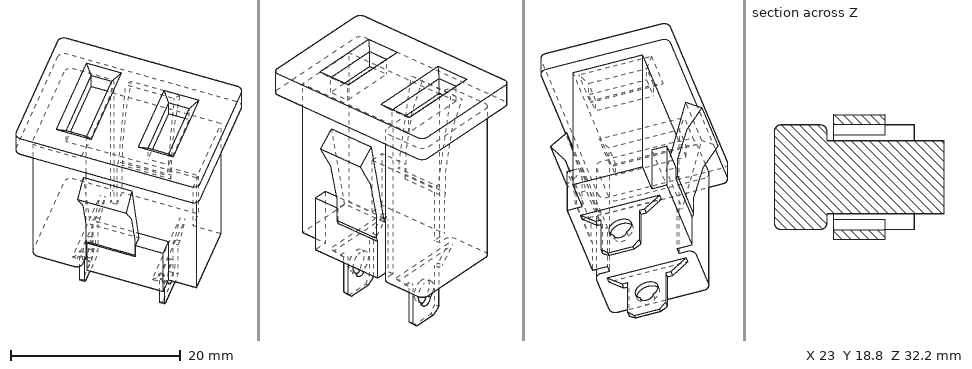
import cadquery as cq

TOTAL_HEIGHT = 32.2
CONTACT_PITCH = 9.98
CORNER_RADIUS = 0.8

PLATE_LENGTH = 23.0
PLATE_WIDTH = 16.05
PLATE_THICKNESS = 3.0
PLATE_BOTTOM = TOTAL_HEIGHT - PLATE_THICKNESS
MOUTH_WIDTH = 4.38
MOUTH_CHAMFER = 0.9
LEFT_MOUTH_LENGTH = 10.55
RIGHT_MOUTH_LENGTH = 9.0

HOUSING_LENGTH = 20.03
HOUSING_WIDTH = 12.35
HOUSING_HEIGHT = 21.0
HOUSING_BOTTOM = PLATE_BOTTOM - HOUSING_HEIGHT
END_BLOCK_LENGTH = 6.2
CORE_RECESS = 1.87
CORE_WIDTH = HOUSING_WIDTH - 2 * CORE_RECESS

CLIP_WIDTH = 6.1
PAD_RIGHT = 6.5
PAD_HEIGHT = 7.3
PAD_TOP = HOUSING_BOTTOM + PAD_HEIGHT
CLIP_SPAN = 18.8
CLIP_TIP_Y = 7.37
CLIP_TIP_Z = 27.35
CLIP_BARB_Z = 25.55
CLIP_KNEE_Y = 7.55
CLIP_KNEE_Z = 22.2
CLIP_FOOT_Y = 6.38
CLIP_FOOT_TOP = 17.0
CLIP_FOOT_BOTTOM = 13.9
CLIP_FOOT_END = 13.4
CLIP_ROOT_Y = 4.95

BLADE_THICKNESS = 0.65
SHOULDER_TOP_HALF = 4.9
SHOULDER_HEIGHT = 1.87
TAB_HALF_WIDTH = 2.38
TAB_CORNER_CHAMFER = 0.85
TIP_BEVEL_HEIGHT = 0.58
TIP_BEVEL_DEPTH = 0.13
EYE_RADIUS = 1.42
EYE_Z = 4.1
EYE_TOE_RADIUS = 0.8
EYE_TOE_Z = 2.95


def slot_cutter(center_x, mouth_length):
    """Slot through the faceplate, with a 45-degree chamfer around its mouth."""
    throat_width = MOUTH_WIDTH - 2 * MOUTH_CHAMFER
    throat_length = mouth_length - 2 * MOUTH_CHAMFER
    throat = (
        cq.Workplane("XY", origin=(center_x, 0, PLATE_BOTTOM))
        .rect(throat_width, throat_length)
        .extrude(PLATE_THICKNESS)
    )
    mouth = (
        cq.Workplane("XY", origin=(center_x, 0, TOTAL_HEIGHT - MOUTH_CHAMFER))
        .rect(throat_width, throat_length)
        .workplane(offset=MOUTH_CHAMFER)
        .rect(MOUTH_WIDTH, mouth_length)
        .loft(ruled=True)
    )
    return throat.union(mouth)


def make_faceplate():
    plate = (
        cq.Workplane("XY", origin=(0, 0, PLATE_BOTTOM))
        .rect(PLATE_LENGTH, PLATE_WIDTH)
        .extrude(PLATE_THICKNESS)
        .edges("|Z")
        .fillet(CORNER_RADIUS)
    )
    plate = plate.cut(slot_cutter(-CONTACT_PITCH / 2, LEFT_MOUTH_LENGTH))
    return plate.cut(slot_cutter(CONTACT_PITCH / 2, RIGHT_MOUTH_LENGTH))


def make_clip():
    """Snap clip with its supporting pad on the -Y side of the housing."""
    clip = (
        cq.Workplane("YZ", origin=(-CLIP_WIDTH / 2, 0, 0))
        .polyline([
            (-CLIP_TIP_Y, CLIP_TIP_Z),
            (-CLIP_SPAN / 2, CLIP_BARB_Z),
            (-CLIP_KNEE_Y, CLIP_KNEE_Z),
            (-CLIP_FOOT_Y, CLIP_FOOT_TOP),
            (-CLIP_FOOT_Y, CLIP_FOOT_BOTTOM),
            (-HOUSING_WIDTH / 2, CLIP_FOOT_END),
            (-CLIP_ROOT_Y, CLIP_FOOT_END),
            (-CLIP_ROOT_Y, PAD_TOP),
        ])
        .close()
        .extrude(CLIP_WIDTH)
    )
    pad = cq.Workplane("XY").box(
        PAD_RIGHT + CLIP_WIDTH / 2, CORE_RECESS, PAD_HEIGHT, centered=False
    ).translate((-CLIP_WIDTH / 2, -HOUSING_WIDTH / 2, HOUSING_BOTTOM))
    return clip.union(pad)


def make_housing():
    base = cq.Workplane("XY", origin=(0, 0, HOUSING_BOTTOM))
    core = base.rect(HOUSING_LENGTH, CORE_WIDTH).extrude(HOUSING_HEIGHT)
    end_block = (
        base.center((END_BLOCK_LENGTH - HOUSING_LENGTH) / 2, 0)
        .rect(END_BLOCK_LENGTH, HOUSING_WIDTH)
        .extrude(HOUSING_HEIGHT)
        .edges("|Z")
        .fillet(CORNER_RADIUS)
    )
    front_clip = make_clip()
    back_clip = front_clip.mirror("XZ")
    return core.union(end_block).union(front_clip).union(back_clip)


def make_blade(center_x):
    """Solder blade: tapered shoulder, chamfered tab, bevelled tip and a wire eye."""
    shoulder_bottom_z = HOUSING_BOTTOM - SHOULDER_HEIGHT
    shoulder_bottom_half = SHOULDER_TOP_HALF - SHOULDER_HEIGHT
    right_side = [
        (SHOULDER_TOP_HALF, HOUSING_BOTTOM),
        (shoulder_bottom_half, shoulder_bottom_z),
        (TAB_HALF_WIDTH, shoulder_bottom_z),
        (TAB_HALF_WIDTH, TAB_CORNER_CHAMFER),
        (TAB_HALF_WIDTH - TAB_CORNER_CHAMFER, 0),
    ]
    left_side = [(-y, z) for y, z in reversed(right_side)]
    blade = (
        cq.Workplane("YZ")
        .polyline(right_side + left_side)
        .close()
        .extrude(BLADE_THICKNESS / 2, both=True)
    )

    half_thickness = BLADE_THICKNESS / 2
    tip_half_thickness = half_thickness - TIP_BEVEL_DEPTH
    thickness_profile = (
        cq.Workplane("XZ")
        .polyline([
            (-tip_half_thickness, 0),
            (tip_half_thickness, 0),
            (half_thickness, TIP_BEVEL_HEIGHT),
            (half_thickness, HOUSING_BOTTOM),
            (-half_thickness, HOUSING_BOTTOM),
            (-half_thickness, TIP_BEVEL_HEIGHT),
        ])
        .close()
        .extrude(SHOULDER_TOP_HALF, both=True)
    )
    blade = blade.intersect(thickness_profile)

    for eye_z, radius in ((EYE_Z, EYE_RADIUS), (EYE_TOE_Z, EYE_TOE_RADIUS)):
        eye = cq.Workplane("YZ").center(0, eye_z).circle(radius).extrude(BLADE_THICKNESS, both=True)
        blade = blade.cut(eye)
    return blade.translate((center_x, 0, 0))


faceplate = make_faceplate()
housing = make_housing()
blades = [make_blade(side * CONTACT_PITCH / 2) for side in (-1, 1)]

result = cq.Compound.makeCompound([
    faceplate.val(),
    housing.val(),
    *[blade.val() for blade in blades],
])